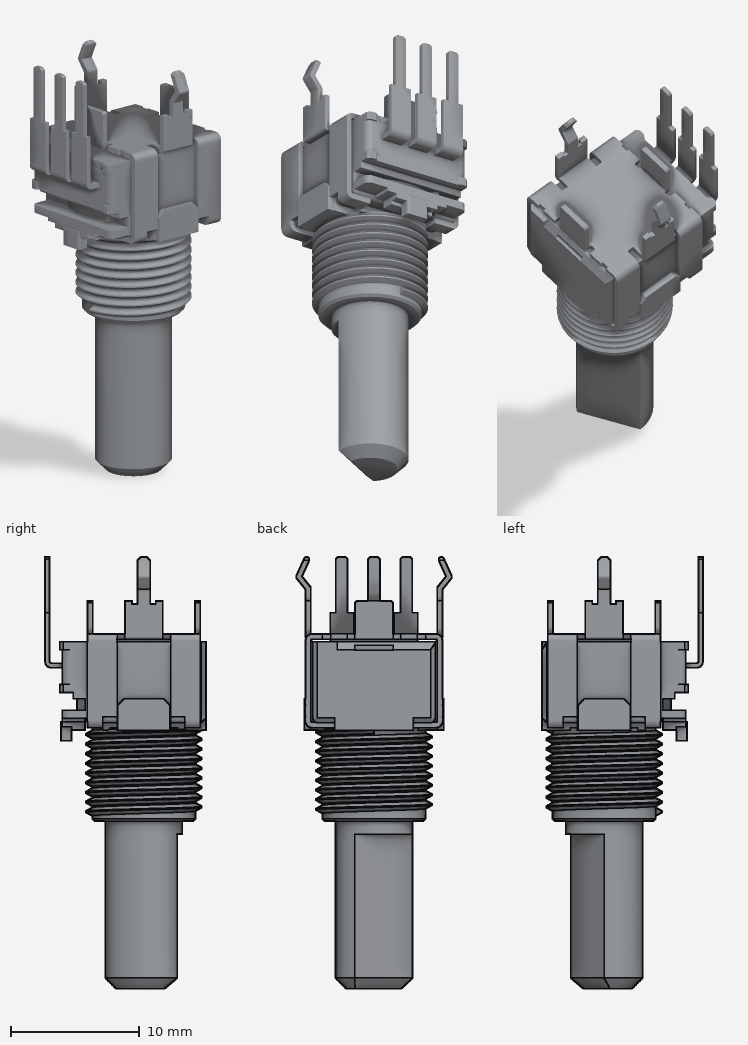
import cadquery as cq


TOP_Z = 33.5

SHAFT_R = 6.0 / 2
SHAFT_FLAT_OFFSET = SHAFT_R / 2
SHAFT_FLAT_ANGLE = 120
SHAFT_FLAT_TOP = 12.0
SHAFT_CHAMFER = 0.85

BUSHING_R = 4.02
BUSHING_Z = 13.0
BUSHING_CHAMFER = 0.2
BASE_Z = 20.05
THREAD_R = 9.0 / 2
THREAD_LENGTH = 6.35
THREAD_TURNS = 8.5
THREAD_PITCH = THREAD_LENGTH / THREAD_TURNS
THREAD_START_Z = 13.75
THREAD_START_ANGLE = -90
THREAD_OVERLAP = 0.07
THREAD_ROOT_GAP = 0.05
THREAD_CREST = 0.1

SHEET = 0.45
CLIP_X = 5.33
CLIP_Y = 4.4
CLIP_TOP = 27.55
CLIP_BOTTOM = 20.25
CLIP_BEND_R = 0.57
FOOT_INNER_X = 3.05
FOOT_INNER_Y = 3.18
FOOT_NOTCH_TOP = 21.1
WINDOW_Y = 2.08
WINDOW_INNER_X = 3.82
WINDOW_CORNER_R = 0.2
TAB_HALF = 1.47
TAB_TOP = 30.08
TAB_CORNER = 0.15
TAB_SLOT_INNER_Y = 3.8
TAB_SLOT_R = 0.2
EDGE_NICK_X = 3.7
EDGE_NICK_W = 0.65
EDGE_NICK_DEPTH = 0.2

LEG_HALF = 0.5
LEG_BEND_Z = 31.05
LEG_BULGE_X = 5.83
LEG_BULGE_Z = 31.95
LEG_TIP_X = 5.23
LEG_CORNER = 0.27
SHOULDER_INNER_Y = 0.9
SHOULDER_DIP = 0.25

BODY_X = 4.75
BODY_TOP = 26.95
BODY_BOTTOM = 20.65
BODY_BOTTOM_R = 0.4
BODY_FRONT = -6.33
BODY_BACK = 4.82
BODY_FRONT_R = 0.55
BODY_BACK_CHAMFER = 0.37
REAR_SLOPE_Y = BODY_BACK - CLIP_Y
REAR_SLOPE_Z = 0.65
REAR_SLOPE_END_X = 2.85
REAR_NOTCH_Y = 4.6
REAR_NOTCH_DEPTH = 0.67
PANEL_X = 4.9
CORE_X = 3.35

BLOCK_BOTTOM = 22.98
STEP_Y = -5.5
GAP_TOP = 22.48
GAP_BOTTOM = 21.6
GAP_BACK_Y = -4.55
GAP_DRUM_R = 5.2
RIB_SLOPE_X = 2.15
RIB_FACE_X = 2.6
RIB_END_X = 2.9
RIB_FRONT = -5.15
EAR_INNER_X = 3.75
EAR_FRONT = -6.53
EAR_BACK = -5.53
EAR_HEIGHT = 0.65
EAR_CHAMFER = 0.27
LIP_RECESS = 0.1
FLANGE_STEPS = ((BODY_X, 20.97), (2.78, 20.7), (1.95, 20.35))
BASE_FRONT = -5.6

LEDGE_X = 5.43
LEDGE_Y = 2.0
LEDGE_TOP = 22.5
LEDGE_CHAMFER = 0.5

KEY_HALF = 0.97
KEY_BACK = BASE_FRONT
KEY_FRONT = -6.43
KEY_BOTTOM = 19.23
KEY_CORNER_R = 0.2

PIN_SHEET = 0.37
PIN_FRONT = -7.67
PIN_BOTTOM = 24.9
PIN_BEND_R = 0.5
PIN_PITCH = 2.5
PIN_W = 0.95
PIN_TIP_CHAMFER = 0.17
BLADE_OFFSET = 2.48
PIN_BLADES = (
    (-PIN_PITCH, -BLADE_OFFSET, 1.85, 29.18),
    (0, 0, 1.78, 29.08),
    (PIN_PITCH, BLADE_OFFSET, 1.85, 29.18),
)


def block(x0, x1, y0, y1, z0, z1):
    """Box between two opposite corners."""
    return cq.Workplane("XY").box(x1 - x0, y1 - y0, z1 - z0, centered=False).translate((x0, y0, z0))


def both_sides(solid, plane):
    """A solid together with its mirror image."""
    return solid.union(solid.mirror(plane))


def make_shaft():
    shaft = cq.Workplane("XY").circle(SHAFT_R).extrude(BASE_Z)
    size = 2 * SHAFT_R
    shaft = shaft.cut(block(-size, -SHAFT_FLAT_OFFSET, -size, size, 0, SHAFT_FLAT_TOP))
    shaft = shaft.faces("<Z").chamfer(SHAFT_CHAMFER)
    return shaft.rotate((0, 0, 0), (0, 0, 1), SHAFT_FLAT_ANGLE - 180)


def make_bushing():
    bushing = cq.Workplane("XY").circle(BUSHING_R).extrude(CLIP_BOTTOM - BUSHING_Z)
    bushing = bushing.translate((0, 0, BUSHING_Z))
    return bushing.faces("<Z").chamfer(BUSHING_CHAMFER)


def make_thread():
    """Right-handed ridge with a narrow flat crest that starts at the front of the bushing."""
    inner_r = BUSHING_R - THREAD_OVERLAP
    half_base = (THREAD_PITCH - THREAD_ROOT_GAP) / 2
    half_crest = THREAD_CREST / 2
    path = cq.Wire.makeHelix(THREAD_PITCH, THREAD_LENGTH, BUSHING_R)
    profile = [
        (inner_r, -half_base),
        (THREAD_R, -half_crest),
        (THREAD_R, half_crest),
        (inner_r, half_base),
    ]
    ridge = cq.Workplane("XZ").polyline(profile).close()
    ridge = ridge.sweep(cq.Workplane("XY").add(path), isFrenet=True)
    ridge = ridge.rotate((0, 0, 0), (0, 0, 1), THREAD_START_ANGLE).translate((0, 0, THREAD_START_Z))
    return ridge.intersect(block(-CLIP_X, CLIP_X, -CLIP_X, CLIP_X, BUSHING_Z, BASE_Z + THREAD_OVERLAP))


def make_clip():
    height = CLIP_TOP - CLIP_BOTTOM
    middle_z = (CLIP_TOP + CLIP_BOTTOM) / 2
    outer = cq.Workplane("XY").box(2 * CLIP_X, 2 * CLIP_Y, height).edges("|Y").fillet(CLIP_BEND_R)
    inner = cq.Workplane("XY").box(2 * (CLIP_X - SHEET), 3 * CLIP_Y, height - 2 * SHEET)
    inner = inner.edges("|Y").fillet(CLIP_BEND_R - SHEET)
    clip = outer.cut(inner).translate((0, 0, middle_z))
    clip = clip.cut(block(-FOOT_INNER_X, FOOT_INNER_X, -CLIP_Y, CLIP_Y, CLIP_BOTTOM, FOOT_NOTCH_TOP))
    clip = clip.cut(block(-CLIP_X, CLIP_X, -FOOT_INNER_Y, FOOT_INNER_Y, CLIP_BOTTOM, FOOT_NOTCH_TOP))
    for side in (-1, 1):
        middle_x = side * (WINDOW_INNER_X + CLIP_X) / 2
        inner_edge = "|Z and <X" if side > 0 else "|Z and >X"
        window = cq.Workplane("XY").box(CLIP_X - WINDOW_INNER_X, 2 * WINDOW_Y, height)
        window = window.edges(inner_edge).fillet(WINDOW_CORNER_R)
        clip = clip.cut(window.translate((middle_x, 0, middle_z)))
    slot_w = WINDOW_Y - TAB_HALF
    slot_depth = 2 * (CLIP_Y - TAB_SLOT_INNER_Y)
    for x_side in (-1, 1):
        for y_side in (-1, 1):
            slot = cq.Workplane("XY").box(slot_w, slot_depth, 2 * SHEET).edges("|Z").fillet(TAB_SLOT_R)
            nick = cq.Workplane("XY").box(EDGE_NICK_W, 2 * EDGE_NICK_DEPTH, 2 * SHEET)
            slot_x = x_side * (TAB_HALF + slot_w / 2)
            clip = clip.cut(slot.translate((slot_x, y_side * CLIP_Y, CLIP_TOP)))
            clip = clip.cut(nick.translate((x_side * EDGE_NICK_X, y_side * CLIP_Y, CLIP_TOP)))
    return clip


def bent_strip(plane, points, width):
    """Sheet strip that follows a centre line, with width centred on the plane."""
    return cq.Workplane(plane).polyline(points).offset2D(SHEET / 2, "arc").extrude(width / 2, both=True)


def make_end_tabs():
    """Plain tabs bent up from the front and back edges of the clip."""
    y = CLIP_Y - SHEET / 2
    z = CLIP_TOP - SHEET / 2
    tab = bent_strip("YZ", [(TAB_SLOT_INNER_Y - SHEET, z), (y, z), (y, TAB_TOP + SHEET)], 2 * TAB_HALF)
    outline = block(-TAB_HALF, TAB_HALF, 0, CLIP_Y, CLIP_BOTTOM, TAB_TOP)
    tab = tab.intersect(outline.edges("|Y and >Z").chamfer(TAB_CORNER))
    return both_sides(tab, "XZ")


def make_side_tabs():
    """Tabs bent up from the sides of the clip, each ending in a kinked snap leg."""
    x = CLIP_X - SHEET / 2
    z = CLIP_TOP - SHEET / 2
    path = [
        (WINDOW_INNER_X - SHEET, z),
        (x, z),
        (x, LEG_BEND_Z),
        (LEG_BULGE_X, LEG_BULGE_Z),
        (LEG_TIP_X, TOP_Z - SHEET / 2),
    ]
    strip = bent_strip("XZ", path, 2 * TAB_HALF)
    dip_z = TAB_TOP - SHOULDER_DIP
    half_outline = [
        (TAB_HALF, CLIP_BOTTOM),
        (TAB_HALF, TAB_TOP),
        (SHOULDER_INNER_Y, TAB_TOP),
        (SHOULDER_INNER_Y, dip_z),
        (LEG_HALF, dip_z),
        (LEG_HALF, TOP_Z - LEG_CORNER),
        (LEG_HALF - LEG_CORNER, TOP_Z),
    ]
    other_half = [(-y, height) for y, height in reversed(half_outline)]
    outline = cq.Workplane("YZ").polyline(half_outline + other_half).close().extrude(2 * CLIP_X)
    return both_sides(strip.intersect(outline), "YZ")


def make_pin_block():
    """Upper body, cut back at the front by an open gap and by a shallow step between the ears."""
    body = block(-BODY_X, BODY_X, BODY_FRONT, BODY_BACK, GAP_BOTTOM, BODY_TOP)
    body = body.edges("|Z and <Y").fillet(BODY_FRONT_R)
    body = body.cut(block(-BODY_X, BODY_X, BODY_FRONT, GAP_BACK_Y, GAP_BOTTOM, GAP_TOP))
    body = body.cut(block(-BODY_X, BODY_X, BODY_FRONT, STEP_Y, GAP_TOP, BLOCK_BOTTOM))
    lip_back = BODY_FRONT + LIP_RECESS
    lip_bottom = BODY_TOP - EAR_HEIGHT
    return body.cut(block(-EAR_INNER_X, EAR_INNER_X, BODY_FRONT, lip_back, lip_bottom, BODY_TOP))


def make_gap_drum():
    """Round drum at the back of the gap, with a rib at one end that slopes toward the drum."""
    height = GAP_TOP - GAP_BOTTOM
    drum = cq.Workplane("XY").circle(GAP_DRUM_R).extrude(height)
    drum = drum.intersect(block(-CORE_X, CORE_X, BODY_FRONT, 0, 0, height))
    rib_outline = [
        (RIB_SLOPE_X, GAP_BACK_Y),
        (RIB_FACE_X, RIB_FRONT),
        (RIB_END_X, RIB_FRONT),
        (RIB_END_X, GAP_BACK_Y),
    ]
    rib = cq.Workplane("XY").polyline(rib_outline).close().extrude(height)
    return drum.union(rib).translate((0, 0, GAP_BOTTOM))


def cut_rear_edge(body):
    """Slope and notch along the top of the rear edge."""
    slope_outline = [(0, 0), (-REAR_SLOPE_Y, 0), (0, -REAR_SLOPE_Z)]
    slope = cq.Workplane("YZ").polyline(slope_outline).close().extrude(BODY_X + REAR_SLOPE_END_X)
    body = body.cut(slope.translate((-BODY_X, BODY_BACK, BODY_TOP)))
    notch_bottom = BODY_TOP - REAR_NOTCH_DEPTH
    return body.cut(block(-TAB_HALF, TAB_HALF, REAR_NOTCH_Y, BODY_BACK, notch_bottom, BODY_TOP))


def make_body():
    floor = block(-BODY_X, BODY_X, GAP_BACK_Y, BODY_BACK, BODY_BOTTOM, GAP_BOTTOM)
    floor = floor.edges("<Z and (|Y or <Y)").fillet(BODY_BOTTOM_R)
    body = make_pin_block().union(make_gap_drum()).union(floor)
    body = body.edges("|Z and >Y").chamfer(BODY_BACK_CHAMFER)
    body = cut_rear_edge(body)
    base = block(-FOOT_INNER_X, FOOT_INNER_X, -FOOT_INNER_Y, BODY_BACK, BASE_Z, GAP_BOTTOM)
    panels = block(-PANEL_X, PANEL_X, -WINDOW_Y, WINDOW_Y, BASE_Z, BODY_TOP)
    core = block(-CORE_X, CORE_X, -CORE_X, CORE_X, BODY_TOP, CLIP_TOP - SHEET)
    return body.union(base).union(panels).union(core)


def make_ears():
    """Small corner lugs above and below the rounded front corners of the pin block."""
    ears = cq.Workplane("XY")
    for z in (BLOCK_BOTTOM, BODY_TOP - EAR_HEIGHT):
        ear = block(EAR_INNER_X, BODY_X, EAR_FRONT, EAR_BACK, z, z + EAR_HEIGHT)
        ears = ears.union(both_sides(ear.edges("|Z and <Y").chamfer(EAR_CHAMFER), "YZ"))
    return ears


def make_flange():
    """Front flange whose underside steps down toward the middle."""
    flange = cq.Workplane("XY")
    for half_width, bottom in FLANGE_STEPS:
        flange = flange.union(block(-half_width, half_width, BODY_FRONT, GAP_BACK_Y, bottom, GAP_BOTTOM))
    rounded = block(-BODY_X, BODY_X, BODY_FRONT, GAP_BACK_Y, BASE_Z, GAP_BOTTOM)
    flange = flange.intersect(rounded.edges("|Z and <Y").fillet(BODY_FRONT_R))
    base_half = FLANGE_STEPS[-1][0]
    return flange.union(block(-base_half, base_half, BASE_FRONT, GAP_BACK_Y, BASE_Z, GAP_BOTTOM))


def make_ledges():
    ledge = block(0, LEDGE_X, -LEDGE_Y, LEDGE_Y, BASE_Z, LEDGE_TOP)
    return both_sides(ledge.edges("|X and >Z").chamfer(LEDGE_CHAMFER), "YZ")


def make_key():
    key = block(-KEY_HALF, KEY_HALF, KEY_FRONT, KEY_BACK, KEY_BOTTOM, FLANGE_STEPS[1][1])
    return key.edges("|Z and <Y").fillet(KEY_CORNER_R)


def make_pin(pin_x, blade_x, blade_w, shoulder_z):
    """L-shaped pin: a wide blade that leaves the body, turns up and narrows to a tip."""
    bent = block(-BODY_X, BODY_X, PIN_FRONT, STEP_Y, PIN_BOTTOM, TOP_Z)
    bent = bent.edges("|X and <Y and <Z").fillet(PIN_BEND_R)
    hollow = block(-BODY_X, BODY_X, PIN_FRONT + PIN_SHEET, STEP_Y, PIN_BOTTOM + PIN_SHEET, TOP_Z)
    bent = bent.cut(hollow.edges("|X and <Y and <Z").fillet(PIN_BEND_R - PIN_SHEET))
    blade = block(blade_x - blade_w / 2, blade_x + blade_w / 2, PIN_FRONT, STEP_Y, PIN_BOTTOM, shoulder_z)
    tip = block(pin_x - PIN_W / 2, pin_x + PIN_W / 2, PIN_FRONT, STEP_Y, PIN_BOTTOM, TOP_Z)
    return bent.intersect(blade.union(tip.edges("|Y and >Z").chamfer(PIN_TIP_CHAMFER)))


PARTS = (
    make_ears(),
    make_flange(),
    make_ledges(),
    make_key(),
    make_clip(),
    make_end_tabs(),
    make_side_tabs(),
    make_bushing().union(make_thread()),
    make_shaft(),
)

result = make_body()
for part in PARTS:
    result = result.union(part)
for pin in PIN_BLADES:
    result = result.union(make_pin(*pin))